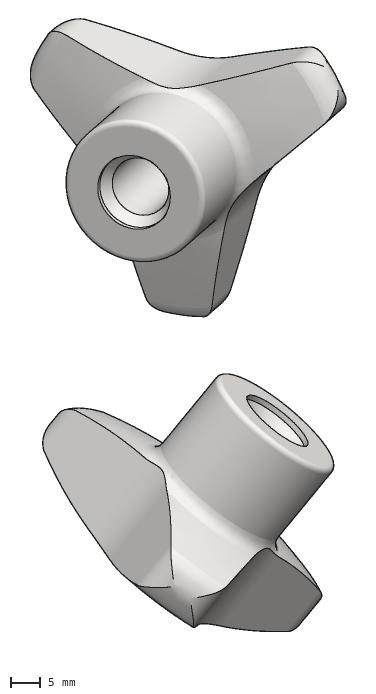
import cadquery as cq
import math

total_depth = 34.75
hub_radius = 25.0 / 2
hub_edge_radius = 1.0
hub_root_radius = 2.5
root_search_margin = 0.3
bore_radius = 10.1 / 2
bore_mouth_radius = 13.0 / 2
bore_mouth_depth = 1.0
bore_taper_end = 3.1

flat_radius = 7.1
dome_radius = 81.9
rim_depth = 8.8
rim_radius = 30.05
rim_start_radius = 27.4

arm_count = 3
flank_distance = 11.65
flank_taper = 12.8
tip_corner_radius = 4.65
valley_radius = 16.4
first_arm_angle = -90.0


def dome_sag(radius):
    """Axial drop of a dome from its apex at the given distance from the axis."""
    return dome_radius - math.sqrt(dome_radius**2 - radius**2)


def polar(distance, degrees):
    """Point in the outline plane at a distance and angle from the axis."""
    angle = math.radians(degrees)
    return cq.Vector(distance * math.cos(angle), distance * math.sin(angle))


def make_envelope():
    """Domed disc and hub, revolved about Y, with a fillet where they meet."""
    back_apex = dome_sag(flat_radius)
    front_apex = back_apex - 2 * (rim_depth + back_apex)
    back_rim = back_apex - dome_sag(rim_start_radius)
    front_rim = front_apex + dome_sag(rim_start_radius)
    middle_radius = (flat_radius + rim_start_radius) / 2
    half_rim_start = rim_start_radius / 2
    disc = (
        cq.Workplane("XY")
        .lineTo(flat_radius, 0)
        .threePointArc(
            (middle_radius, back_apex - dome_sag(middle_radius)), (rim_start_radius, back_rim)
        )
        .threePointArc((rim_radius, -rim_depth), (rim_start_radius, front_rim))
        .threePointArc((half_rim_start, front_apex + dome_sag(half_rim_start)), (0, front_apex))
        .close()
        .revolve(360, (0, 0), (0, 1))
    )
    hub_length = total_depth - rim_depth
    hub = cq.Workplane("XZ", origin=(0, -rim_depth, 0)).circle(hub_radius).extrude(hub_length)
    hub = hub.faces("<Y").edges().fillet(hub_edge_radius)
    body = disc.union(hub)
    root_depth = front_apex + dome_sag(hub_radius)
    root_box = cq.selectors.BoxSelector(
        (-rim_start_radius, root_depth - root_search_margin, -rim_start_radius),
        (rim_start_radius, root_depth + root_search_margin, rim_start_radius),
    )
    return body.edges(root_box).fillet(hub_root_radius)


def make_arm_prism():
    """Arm outline: tapered flanks, tips on the rim circle, rounded corners and valleys."""
    corner_distance = rim_radius - tip_corner_radius
    corner_angle = math.degrees(
        math.asin((flank_distance - tip_corner_radius) / corner_distance)
    ) - flank_taper
    flank_normal = 90 - flank_taper
    half_pitch = 180 / arm_count
    valley_distance = (flank_distance + valley_radius) / math.cos(
        math.radians(flank_normal - half_pitch)
    )
    valley_bottom = valley_distance - valley_radius

    def corner_point(arm_angle, side, normal_angle):
        """Point on a tip corner arc where its normal is turned from the arm centreline."""
        center = polar(corner_distance, arm_angle + side * corner_angle)
        return center + polar(tip_corner_radius, arm_angle + side * normal_angle)

    def valley_end(arm_angle, side):
        """Tangent point of an arm flank and the valley arc beside it."""
        center = polar(valley_distance, arm_angle + side * half_pitch)
        return center - polar(valley_radius, arm_angle + side * flank_normal)

    corner_middle = (corner_angle + flank_normal) / 2
    start = valley_end(first_arm_angle, -1)
    outline = cq.Workplane("XZ").moveTo(start.x, start.y)
    for arm in range(arm_count):
        angle = first_arm_angle + arm * 360 / arm_count
        next_angle = angle + 360 / arm_count
        near_flank_end = corner_point(angle, -1, flank_normal)
        far_flank_end = valley_end(angle, 1)
        outline = (
            outline.lineTo(near_flank_end.x, near_flank_end.y)
            .threePointArc(
                corner_point(angle, -1, corner_middle), corner_point(angle, -1, corner_angle)
            )
            .threePointArc(polar(rim_radius, angle), corner_point(angle, 1, corner_angle))
            .threePointArc(
                corner_point(angle, 1, corner_middle), corner_point(angle, 1, flank_normal)
            )
            .lineTo(far_flank_end.x, far_flank_end.y)
            .threePointArc(polar(valley_bottom, angle + half_pitch), valley_end(next_angle, -1))
        )
    return outline.close().extrude(total_depth)


def cut_bore(body):
    """Through bore with a short counterbore and a tapered lead-in at the hub end."""
    bore = cq.Workplane("XZ").circle(bore_radius).extrude(total_depth)
    lead_in = (
        cq.Workplane("XY")
        .moveTo(0, -total_depth)
        .lineTo(bore_mouth_radius, -total_depth)
        .lineTo(bore_mouth_radius, -total_depth + bore_mouth_depth)
        .lineTo(bore_radius, -total_depth + bore_taper_end)
        .lineTo(0, -total_depth + bore_taper_end)
        .close()
        .revolve(360, (0, 0), (0, 1))
    )
    return body.cut(bore).cut(lead_in)


result = cut_bore(make_envelope().intersect(make_arm_prism()))